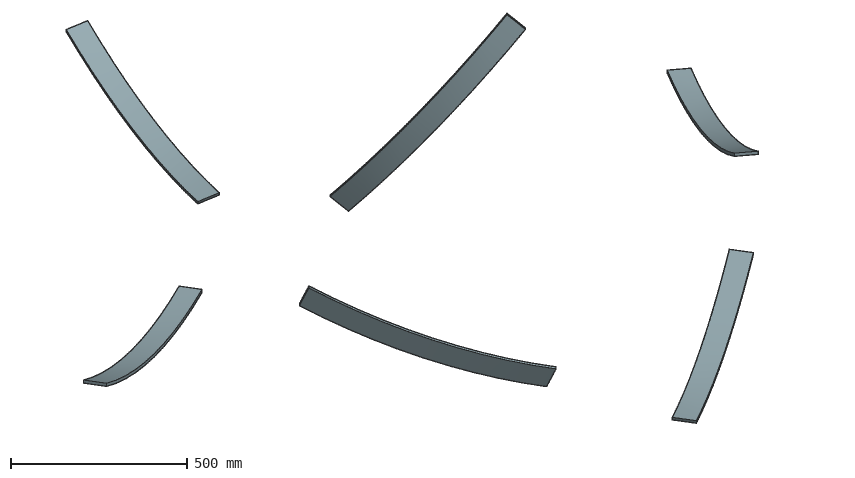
import cadquery as cq

length = 760.0
width = 70.0
height = 63.0
thickness = 10.0

half_length = length / 2
end_bottom = height - thickness


def bowed_strip():
    """Strip between two equal arcs, one above the other, with vertical ends."""
    return (
        cq.Workplane("XZ")
        .moveTo(-half_length, end_bottom)
        .threePointArc((0, 0), (half_length, end_bottom))
        .lineTo(half_length, height)
        .threePointArc((0, thickness), (-half_length, height))
        .close()
        .extrude(width / 2, both=True)
    )


result = bowed_strip()